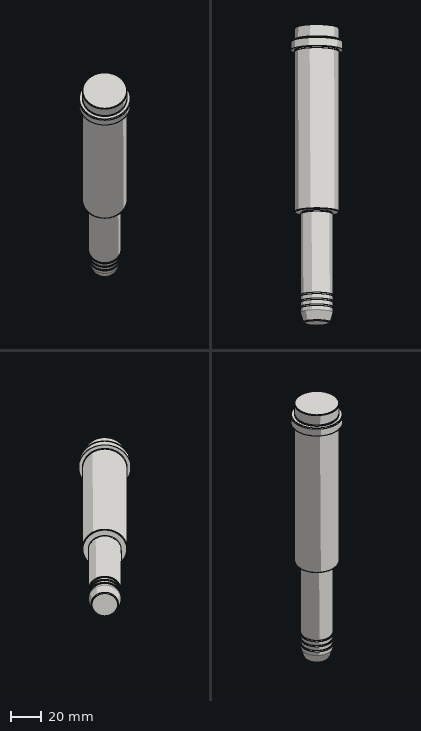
import cadquery as cq
import math

total_height = 200.0
body_bottom = 75.0
flange_bottom = 185.0
flange_top = 191.0
taper_height = 7.0

body_radius = 15.0
flange_radius = 17.5
pin_radius = 11.0

edge_chamfer = 0.5
shaft_chamfer = 0.5
taper_angle = 15.0
relief_depth = 0.2
relief_width = 1.0
neck_depth = 1.0
neck_width = 1.0

groove_count = 3
groove_pitch = 4.0
groove_radius = 0.5
lowest_groove_center = 10.5


def cylinder(radius, bottom, top):
    """Solid disc on the Z axis between two heights."""
    return cq.Workplane("XY").workplane(offset=bottom).circle(radius).extrude(top - bottom)


def ring_cut(radius, depth, bottom, top):
    """Ring that removes a groove of the given depth from a shaft."""
    margin = 0.5
    return cylinder(radius + margin, bottom, top).cut(cylinder(radius - depth, bottom, top))


def make_pin():
    """Slim lower shaft with a tapered, chamfered tip."""
    tip_radius = pin_radius - taper_height * math.tan(math.radians(taper_angle))
    profile = [
        (0, 0),
        (tip_radius - edge_chamfer, 0),
        (tip_radius, edge_chamfer),
        (pin_radius, taper_height),
        (pin_radius, body_bottom),
        (0, body_bottom),
    ]
    pin = cq.Workplane("XZ").polyline(profile).close().revolve(360, (0, 0), (0, 1))
    for index in range(groove_count):
        center = lowest_groove_center + index * groove_pitch
        pin = pin.cut(cq.Workplane(cq.Solid.makeTorus(pin_radius, groove_radius, cq.Vector(0, 0, center))))
    return pin.cut(ring_cut(pin_radius, neck_depth, body_bottom - neck_width, body_bottom))


def make_body():
    """Main shaft with chamfered ends and a relief under the flange."""
    body = cylinder(body_radius, body_bottom, total_height)
    body = body.faces("<Z or >Z").chamfer(shaft_chamfer)
    return body.cut(ring_cut(body_radius, relief_depth, flange_bottom - relief_width, flange_bottom))


def make_flange():
    """Locating collar with a chamfered upper edge."""
    return cylinder(flange_radius, flange_bottom, flange_top).faces(">Z").edges().chamfer(edge_chamfer)


def make_head_relief():
    """Relief in the shaft just above the flange."""
    return ring_cut(body_radius, relief_depth, flange_top, flange_top + relief_width)


result = make_pin().union(make_body()).union(make_flange()).cut(make_head_relief())